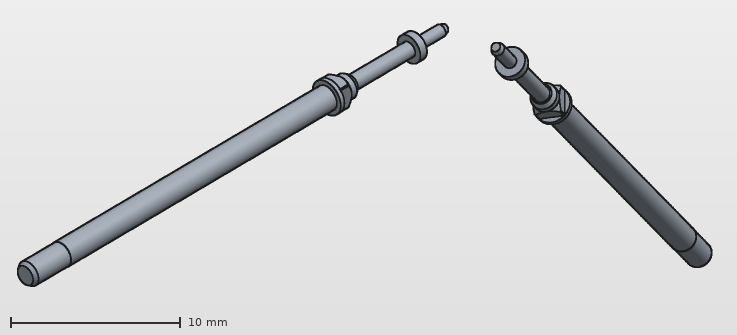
import cadquery as cq

length = 35.5
end_y = length / 2

tip_dia = 0.8
tip_end_dia = 0.57
tip_taper = 0.35
disc_dia = 1.88
disc_front_y = 15.25
disc_width = 0.57
plunger_dia = 1.03

neck_dia = 1.25
neck_front_y = 9.75
neck_taper = 0.32
barrel_dia = 1.67
flange_dia = 2.3
flange_front_y = 8.05
flange_width = 0.32

square_corner_dia = 2.27
square_front_y = 9.0
square_lead_in = 0.3

tail_dia = 1.65
tail_length = 3.0
tail_end_dia = 1.28
tail_taper = 0.3


def round_section(start_y, stop_y, diameter):
    """Cylinder about the Y axis between two stations."""
    return taper(start_y, stop_y, diameter, diameter)


def taper(start_y, stop_y, start_dia, stop_dia):
    """Cone frustum about the Y axis between two stations."""
    outline = [(0, start_y), (start_dia / 2, start_y), (stop_dia / 2, stop_y), (0, stop_y)]
    return cq.Workplane("XY").polyline(outline).close().revolve(360, (0, 0, 0), (0, 1, 0))


def plunger():
    """Thin contact pin with a tapered tip and a disc behind it."""
    taper_y = end_y - tip_taper
    disc_back_y = disc_front_y - disc_width
    rod = round_section(neck_front_y, disc_back_y, plunger_dia)
    disc = round_section(disc_back_y, disc_front_y, disc_dia)
    tip = round_section(disc_front_y, taper_y, tip_dia)
    point = taper(taper_y, end_y, tip_dia, tip_end_dia)
    return rod.union(disc).union(tip).union(point)


def square_head():
    """Square wrench section with turned corners and a conical lead-in."""
    head_length = square_front_y - flange_front_y
    lead_in_y = square_front_y - square_lead_in
    corners = round_section(flange_front_y, lead_in_y, square_corner_dia)
    lead_in = taper(lead_in_y, square_front_y, square_corner_dia, barrel_dia)
    square = cq.Workplane("XY").box(barrel_dia, head_length, barrel_dia)
    square = square.translate((0, flange_front_y + head_length / 2, 0))
    return corners.union(lead_in).intersect(square)


def barrel():
    """Long tube with a tapered neck, a flange and a slightly thinner tail."""
    collar_front_y = neck_front_y - neck_taper
    flange_back_y = flange_front_y - flange_width
    tail_front_y = tail_length - end_y
    tail_taper_y = tail_taper - end_y
    neck = taper(collar_front_y, neck_front_y, barrel_dia, neck_dia)
    tube = round_section(tail_front_y, collar_front_y, barrel_dia)
    flange = round_section(flange_back_y, flange_front_y, flange_dia)
    tail = round_section(tail_taper_y, tail_front_y, tail_dia)
    tail_end = taper(-end_y, tail_taper_y, tail_end_dia, tail_dia)
    return tube.union(neck).union(flange).union(tail).union(tail_end)


result = barrel().union(square_head()).union(plunger())